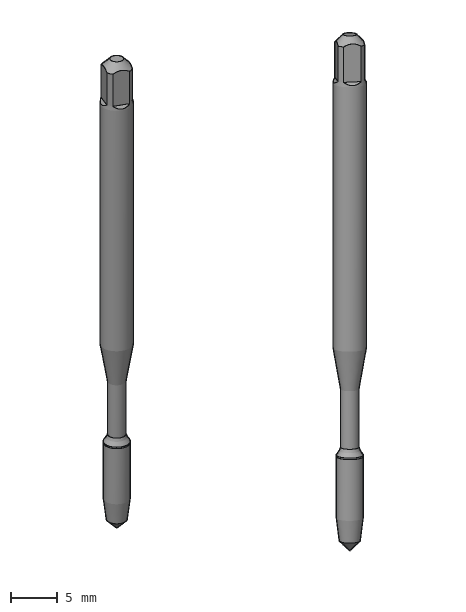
import cadquery as cq

total_length = 56.8

point_length = 1.15
point_radius = 1.15
lead_top = 3.65
thread_radius = 1.45
thread_top = 10.4

shoulder_rim_top = 10.55
shoulder_top = 11.0
flare_radius = 1.15
neck_bottom = 11.4
neck_radius = 0.995
neck_top = 17.8

taper_bottom = 17.95
taper_small_radius = 1.0
shank_bottom = 22.3
shank_radius = 1.79
shank_top = 51.4

flat_count = 4
square_width = 2.9
square_corner_radius = 1.73
flat_bottom = 51.9
end_face_radius = 0.75
end_cone_height = square_corner_radius - end_face_radius


def revolve_profile(points):
    """Solid of revolution about Z from a closed (radius, height) outline."""
    return cq.Workplane("XZ").polyline(points).close().revolve(360, (0, 0, 0), (0, 1, 0))


def make_cutting_end():
    """Pointed tip, tapered lead and full-diameter cutting cylinder."""
    return revolve_profile([
        (0, 0),
        (point_radius, point_length),
        (thread_radius, lead_top),
        (thread_radius, thread_top),
        (0, thread_top),
    ])


def make_shank_blank():
    """Turned shank: shoulder, flare, neck, taper, round shank and the round stock of the square."""
    return revolve_profile([
        (0, thread_top),
        (thread_radius, thread_top),
        (thread_radius, shoulder_rim_top),
        (flare_radius, shoulder_top),
        (neck_radius, neck_bottom),
        (neck_radius, neck_top),
        (taper_small_radius, taper_bottom),
        (shank_radius, shank_bottom),
        (shank_radius, shank_top),
        (square_corner_radius, flat_bottom),
        (square_corner_radius, total_length - end_cone_height),
        (end_face_radius, total_length),
        (0, total_length),
    ])


def make_flat_cutter():
    """Tool that mills one flat on the +X side, running out downward at 45 degrees."""
    flat_distance = square_width / 2
    cutter_reach = 2 * shank_radius
    runout = cutter_reach - flat_distance
    return (
        cq.Workplane("XZ")
        .polyline([
            (flat_distance, flat_bottom),
            (cutter_reach, flat_bottom - runout),
            (cutter_reach, total_length),
            (flat_distance, total_length),
        ])
        .close()
        .extrude(shank_radius, both=True)
    )


def make_shank():
    """Turned shank with four flats milled to form the square drive."""
    shank_body = make_shank_blank()
    flat_cutter = make_flat_cutter()
    for side in range(flat_count):
        angle = side * 360 / flat_count
        shank_body = shank_body.cut(flat_cutter.rotate((0, 0, 0), (0, 0, 1), angle))
    return shank_body


cutting_end = make_cutting_end()
shank = make_shank()

result = cq.Compound.makeCompound([cutting_end.val(), shank.val()])